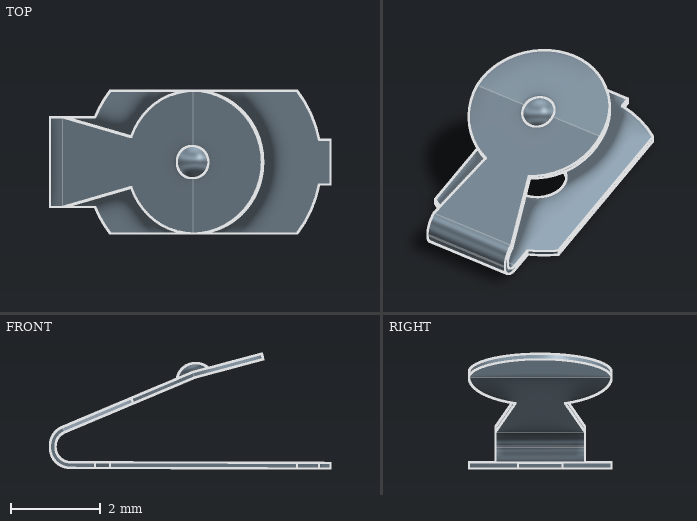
import math
import cadquery as cq

thickness = 0.13
length = 6.25
width = 3.18

end_radius = 2.62
end_center_x = 3.425
hole_diameter = 1.3
hole_x = 3.12
tab_width = 1.0
base_droop = 0.15

strip_width = 2.0
bend_radius = 0.455
bend_straight = 0.04
neck_end_width = 1.11

arm_angle = 22.8
tip_angle = 15.0
fold_x = 3.18
disc_radius = width / 2

dome_radius = 0.425
dome_x = 3.245
dome_z = 1.91


def along(start, distance, angle):
    """Point (x, z) at a distance from start in the given direction."""
    turn = math.radians(angle)
    return (start[0] + distance * math.cos(turn), start[1] + distance * math.sin(turn))


def side_prism(points, depth):
    """Extrude a polygon of (x, z) points symmetrically about y = 0."""
    return cq.Workplane("XZ").polyline(points).close().extrude(depth / 2, both=True)


bend_center = (bend_radius, bend_radius)
upper_center = (bend_radius, bend_radius + bend_straight)
inner_radius = bend_radius - thickness
arm_start_top = along(upper_center, bend_radius, arm_angle + 90)
arm_start_bottom = along(upper_center, inner_radius, arm_angle + 90)
arm_length = (fold_x - arm_start_top[0]) / math.cos(math.radians(arm_angle))
fold_top = along(arm_start_top, arm_length, arm_angle)
half_fold = (arm_angle - tip_angle) / 2
fold_bottom = along(
    fold_top,
    thickness / math.cos(math.radians(half_fold)),
    (arm_angle + tip_angle) / 2 - 90,
)
tip_top = along(fold_top, disc_radius, tip_angle)
tip_bottom = along(tip_top, thickness, tip_angle - 90)


def make_base():
    half_strip = strip_width / 2
    plate = cq.Workplane("XY").center(end_center_x, 0).circle(end_radius).extrude(thickness)
    plate = plate.intersect(cq.Workplane("XY").box(2 * length, width, 2 * thickness))
    neck_edge_x = end_center_x - math.sqrt(end_radius**2 - half_strip**2)
    plate = plate.intersect(
        cq.Workplane("XY").box(length, width, thickness, centered=(False, True, False))
        .translate((neck_edge_x, 0, 0))
    )
    strip = cq.Workplane("XY").box(
        hole_x - bend_radius, strip_width, thickness, centered=(False, True, False)
    ).translate((bend_radius, 0, 0))
    hole = cq.Workplane("XY").center(hole_x, 0).circle(hole_diameter / 2).extrude(thickness)
    tab_end_x = length + inner_radius * math.sin(math.radians(base_droop))
    tab = cq.Workplane("XY").box(
        tab_end_x - end_center_x, tab_width, thickness, centered=(False, True, False)
    ).translate((end_center_x, 0, 0))
    base = plate.union(strip).union(tab).cut(hole)
    axis_start = (bend_center[0], 0, bend_center[1])
    axis_end = (bend_center[0], 1, bend_center[1])
    return base.rotate(axis_start, axis_end, base_droop)


def make_bend():
    lower_angle = 270 - base_droop
    lower_middle = (180 + lower_angle) / 2
    upper_middle = (180 + (arm_angle + 90)) / 2
    return (
        cq.Workplane("XZ")
        .moveTo(*along(bend_center, bend_radius, lower_angle))
        .threePointArc(along(bend_center, bend_radius, lower_middle), (0, bend_center[1]))
        .lineTo(0, upper_center[1])
        .threePointArc(along(upper_center, bend_radius, upper_middle), arm_start_top)
        .lineTo(*arm_start_bottom)
        .threePointArc(along(upper_center, inner_radius, upper_middle), (thickness, upper_center[1]))
        .lineTo(thickness, bend_center[1])
        .threePointArc(
            along(bend_center, inner_radius, lower_middle),
            along(bend_center, inner_radius, lower_angle),
        )
        .close()
        .extrude(strip_width / 2, both=True)
    )


def inclined_plane(angle):
    """Plane through the fold line, with its local x axis running up the slope."""
    slope = math.radians(angle)
    return cq.Plane(
        origin=(fold_top[0], 0, fold_top[1]),
        xDir=(math.cos(slope), 0, math.sin(slope)),
        normal=(-math.sin(slope), 0, math.cos(slope)),
    )


def make_disc(angle):
    return cq.Workplane(inclined_plane(angle)).circle(disc_radius).extrude(2 * thickness, both=True)


def make_arm():
    neck_end = -math.sqrt(disc_radius**2 - (neck_end_width / 2)**2)
    neck = (
        cq.Workplane(inclined_plane(arm_angle))
        .polyline([
            (-arm_length, -strip_width / 2),
            (neck_end, -neck_end_width / 2),
            (0, -neck_end_width / 2),
            (0, neck_end_width / 2),
            (neck_end, neck_end_width / 2),
            (-arm_length, strip_width / 2),
        ])
        .close()
        .extrude(2 * thickness, both=True)
    )
    lower_outline = neck.union(make_disc(arm_angle))
    lower = side_prism([arm_start_top, fold_top, fold_bottom, arm_start_bottom], width)
    upper = side_prism([fold_top, tip_top, tip_bottom, fold_bottom], width)
    return lower.intersect(lower_outline).union(upper.intersect(make_disc(tip_angle)))


def make_dome():
    ball = cq.Workplane("XY").sphere(dome_radius).translate((dome_x, 0, dome_z))
    below_arm = side_prism(
        [arm_start_bottom, fold_bottom, tip_bottom, (tip_bottom[0], 0), (arm_start_bottom[0], 0)],
        width,
    )
    return ball.cut(below_arm)


result = make_base().union(make_bend()).union(make_arm()).union(make_dome())